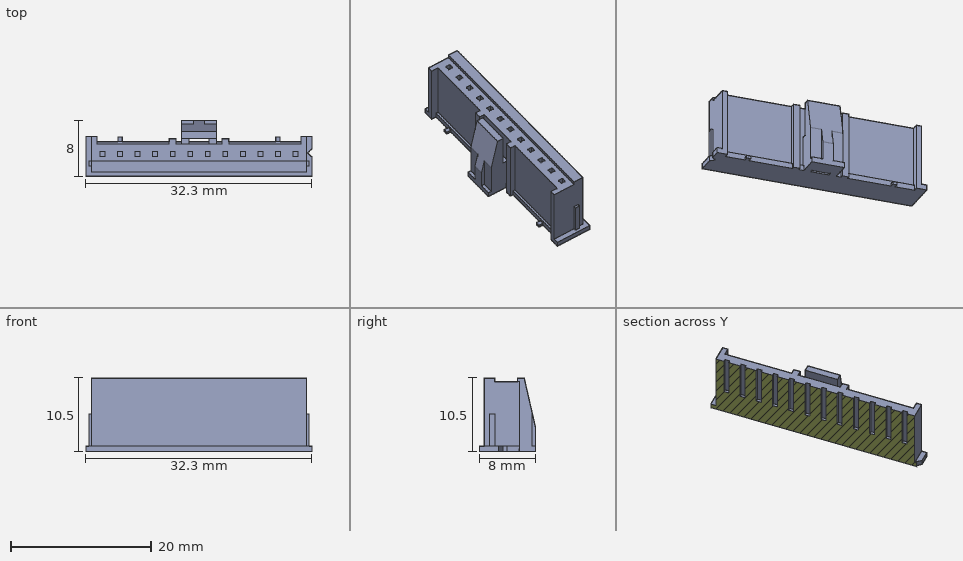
import cadquery as cq


contact_count = 12
pitch = 2.5
contact_y = 3.2
hole_size = 0.7
hole_depth = 6.0

flange_length = 32.3
flange_height = 0.8
flange_back = 4.95

end_overhang = 0.8
body_length = flange_length - 2 * end_overhang
body_front = 0.65
body_back = 4.6
floor_z = 10.0
lip_back = 2.2
total_height = 10.5

pillar_width = 0.8
pillar_back = 5.7

rib_projection = 0.35
rib_front = 1.45
rib_back = lip_back
rib_top = 5.4

post_offset = 1.5 * pitch
post_width = 1.0
post_back = 5.4

peg_offset = pitch * (contact_count - 3) / 2
peg_width = 0.65
peg_back = 5.65
peg_height = flange_height / 2

latch_width = 5.0
latch_front = post_back
latch_top_back = 6.4
latch_back = 8.0
latch_slope_start = 3.5
latch_relief_width = 1.7
latch_relief_front = 7.5
arm_width = 1.1
arm_height = rib_top

notch_y = 3.35
notch_depth = 0.65
notch_half_width = 0.6


def block(x_range, y_range, z_range):
    """Box spanning the given ranges."""
    (x0, x1), (y0, y1), (z0, z1) = x_range, y_range, z_range
    return cq.Workplane("XY").box(x1 - x0, y1 - y0, z1 - z0, centered=False).translate((x0, y0, z0))


def centred_block(x_centre, width, y_range, z_range):
    """Box of the given width about x_centre."""
    return block((x_centre - width / 2, x_centre + width / 2), y_range, z_range)


def make_body():
    """Flange and main block with a raised lip along the front."""
    flange = centred_block(0, flange_length, (0, flange_back), (0, flange_height))
    main = centred_block(0, body_length, (body_front, body_back), (0, floor_z))
    lip = centred_block(0, body_length, (body_front, lip_back), (floor_z, total_height))
    return flange.union(main).union(lip)


def make_end(side):
    """Pillar, flange corner and rib at one end; side is -1 or +1."""
    pillar_x = side * (body_length - pillar_width) / 2
    pillar = centred_block(pillar_x, pillar_width, (body_back, pillar_back), (0, floor_z))
    corner_width = end_overhang + pillar_width
    corner_x = side * (flange_length - corner_width) / 2
    corner = centred_block(corner_x, corner_width, (body_back, pillar_back), (0, flange_height))
    rib_x = side * (body_length + rib_projection) / 2
    rib = centred_block(rib_x, rib_projection, (rib_front, rib_back), (0, rib_top))
    return pillar.union(corner).union(rib)


def make_rear_details(side):
    """Guide post, peg and latch arm on one half of the rear wall."""
    post = centred_block(side * post_offset, post_width, (body_back, post_back), (0, floor_z))
    peg = centred_block(side * peg_offset, peg_width, (body_back, peg_back), (0, peg_height))
    arm_x = side * (latch_width - arm_width) / 2
    arm = centred_block(arm_x, arm_width, (body_back, latch_front), (0, arm_height))
    return post.union(peg).union(arm)


def make_latch():
    """Tapered latch plate, relieved at both rear corners above the flange height."""
    latch = (
        cq.Workplane("YZ")
        .moveTo(latch_front, 0)
        .lineTo(latch_back, 0)
        .lineTo(latch_back, latch_slope_start)
        .lineTo(latch_top_back, total_height)
        .lineTo(latch_front, total_height)
        .close()
        .extrude(latch_width / 2, both=True)
    )
    for side in (-1, 1):
        relief_x = side * (latch_width - latch_relief_width) / 2
        relief = centred_block(
            relief_x, latch_relief_width, (latch_relief_front, latch_back), (flange_height, total_height)
        )
        latch = latch.cut(relief)
    return latch


def make_contact_holes():
    """Row of square blind holes opening on the top floor."""
    holes = cq.Workplane("XY")
    first_x = -pitch * (contact_count - 1) / 2
    hole_y = (contact_y - hole_size / 2, contact_y + hole_size / 2)
    for index in range(contact_count):
        hole = centred_block(first_x + index * pitch, hole_size, hole_y, (floor_z - hole_depth, floor_z))
        holes = holes.add(hole)
    return holes.combine()


def make_notch():
    """V prism through the +X end of the flange."""
    edge_x = flange_length / 2
    return (
        cq.Workplane("XY")
        .moveTo(edge_x, notch_y - notch_half_width)
        .lineTo(edge_x - notch_depth, notch_y)
        .lineTo(edge_x, notch_y + notch_half_width)
        .close()
        .extrude(flange_height)
    )


housing = make_body().union(make_latch())
for side in (-1, 1):
    housing = housing.union(make_end(side)).union(make_rear_details(side))

result = housing.cut(make_contact_holes()).cut(make_notch())